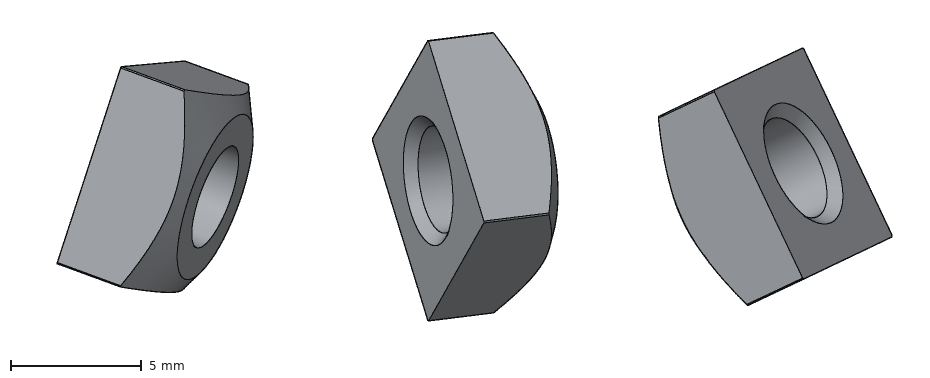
import cadquery as cq
import math

height = 4.0
across_flats = 8.0
across_corners = 11.23
bore_diameter = 4.13
countersink_diameter = 5.0
crown_diameter = 6.7
crown_angle = 30.0

corner_radius = across_corners / 2
crown_radius = crown_diameter / 2
crown_depth = (corner_radius - crown_radius) * math.tan(math.radians(crown_angle))
bore_radius = bore_diameter / 2
countersink_radius = countersink_diameter / 2
countersink_depth = countersink_radius - bore_radius


def revolve_about_x(points):
    """Turn a closed (x, radius) outline around the X axis."""
    return cq.Workplane("XY").polyline(points).close().revolve(360, (0, 0, 0), (1, 0, 0))


square_prism = (
    cq.Workplane("YZ")
    .transformed(rotate=(0, 0, 45))
    .rect(across_flats, across_flats)
    .extrude(height)
)

envelope = revolve_about_x([
    (0, 0),
    (0, corner_radius),
    (height - crown_depth, corner_radius),
    (height, crown_radius),
    (height, 0),
])

bore = revolve_about_x([
    (0, 0),
    (0, countersink_radius),
    (countersink_depth, bore_radius),
    (height, bore_radius),
    (height, 0),
])

result = square_prism.intersect(envelope).cut(bore)